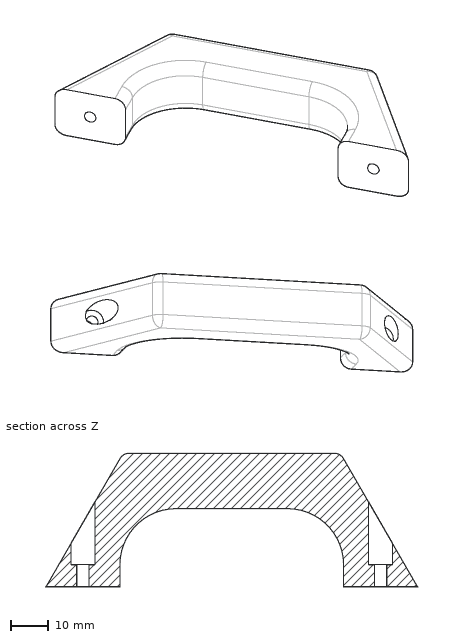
import cadquery as cq
import math

length = 100.0
depth = 36.0
thickness = 15.0
edge_radius = 3.0

flank_angle = math.radians(30)
half_length = length / 2
half_back = half_length - depth * math.tan(flank_angle)

foot_width = 20.0
grip_depth = 21.0
grip_radius = 15.0
half_grip = half_length - foot_width

hole_spacing = length - foot_width
hole_diameter = 3.2
head_diameter = 6.4
head_seat = 6.0


def handle_body():
    """Trapezoid with a round-cornered opening, all edges rounded except at the foot faces."""
    arc_offset = grip_radius * math.sqrt(0.5)
    arc_x = half_grip - grip_radius
    arc_y = grip_depth - grip_radius
    body = (
        cq.Workplane("XY")
        .workplane(offset=-thickness / 2)
        .moveTo(-half_length, 0)
        .lineTo(-half_back, depth)
        .lineTo(half_back, depth)
        .lineTo(half_length, 0)
        .lineTo(half_grip, 0)
        .lineTo(half_grip, arc_y)
        .threePointArc((arc_x + arc_offset, arc_y + arc_offset), (arc_x, grip_depth))
        .lineTo(-arc_x, grip_depth)
        .threePointArc((-arc_x - arc_offset, arc_y + arc_offset), (-half_grip, arc_y))
        .lineTo(-half_grip, 0)
        .close()
        .extrude(thickness)
    )
    back_corners = body.faces(">Y").edges("|Z")
    rims = body.faces("<Z or >Z").edges().edges("not <Y")
    return body.newObject(back_corners.vals() + rims.vals()).fillet(edge_radius)


def screw_cutter(x):
    """Through hole along Y with a wider head bore behind the seat."""
    foot_face = cq.Workplane("XZ").center(x, 0)
    shank = foot_face.circle(hole_diameter / 2).extrude(-depth)
    head = foot_face.workplane(offset=-head_seat).circle(head_diameter / 2).extrude(head_seat - depth)
    return shank.union(head)


result = handle_body()
for side in (-1, 1):
    result = result.cut(screw_cutter(side * hole_spacing / 2))